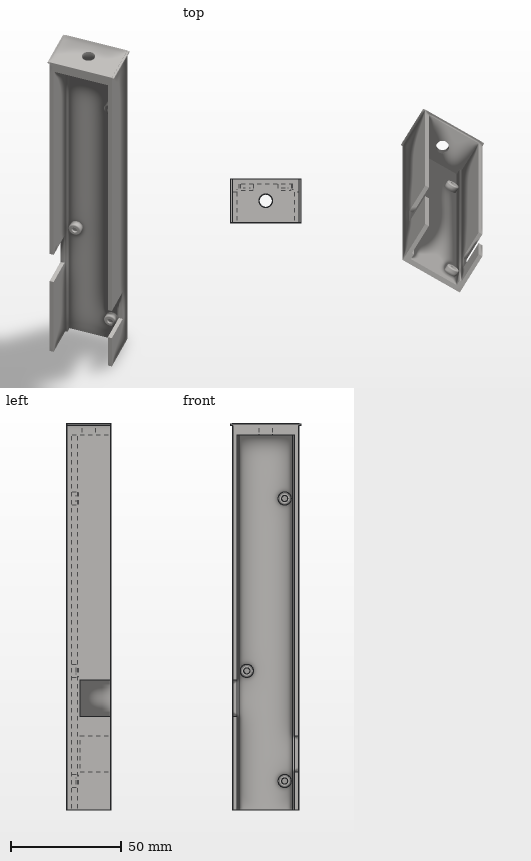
import cadquery as cq

LENGTH = 175.0
WIDTH = 30.1
DEPTH = 20.0
WALL = 2.0
BACK = 2.3
TOP_PLATE = 5.0
FRONT_FACE = -DEPTH / 2
BACK_FACE = DEPTH / 2

LIP_SPAN = 32.0
LIP_HEIGHT = 0.7
LIP_DROP = 0.2

RIB_WIDTH = 1.0
RIB_DEPTH = 2.6

CABLE_HOLE_DIAMETER = 6.0

NOTCH_HEIGHT = 16.5
NOTCH_DEPTH = 14.0
LEFT_NOTCH_BOTTOM = 42.4
RIGHT_NOTCH_BOTTOM = 17.2

BOSS_DIAMETER = 6.0
BOSS_HEIGHT = 3.0
BOSS_FILLET = 0.5
BOSS_BORE = 2.8
BOSS_BORE_DEPTH = 1.0
BOSS_OFFSET = 8.5
BOSS_PLACES = [
    (BOSS_OFFSET, 141.0),
    (-BOSS_OFFSET, 63.0),
    (BOSS_OFFSET, 13.1),
]

INNER_WIDTH = WIDTH - 2 * WALL
INNER_BACK = BACK_FACE - BACK
INNER_LENGTH = LENGTH - TOP_PLATE


def block(x_range, y_range, z_range):
    """Box between the given limits along each axis."""
    size = [high - low for low, high in (x_range, y_range, z_range)]
    corner = (x_range[0], y_range[0], z_range[0])
    return cq.Workplane("XY").box(*size, centered=False).translate(corner)


def side_notch(side, bottom):
    """Cutter for a notch through the side wall on the given side (-1 left, 1 right)."""
    x_range = sorted((side * INNER_WIDTH / 2, side * WIDTH / 2))
    return block(x_range, (FRONT_FACE, FRONT_FACE + NOTCH_DEPTH), (bottom, bottom + NOTCH_HEIGHT))


def corner_rib(side):
    """Rib in the corner between the back and one side wall."""
    wall_face = side * INNER_WIDTH / 2
    x_range = sorted((wall_face, wall_face - side * RIB_WIDTH))
    return block(x_range, (INNER_BACK - RIB_DEPTH, INNER_BACK), (0, INNER_LENGTH))


def make_housing():
    """Channel with its top lips, cable hole, corner ribs and side notches."""
    body = block((-WIDTH / 2, WIDTH / 2), (FRONT_FACE, BACK_FACE), (0, LENGTH))
    cavity = block((-INNER_WIDTH / 2, INNER_WIDTH / 2), (FRONT_FACE, INNER_BACK), (0, INNER_LENGTH))
    lip_top = LENGTH - LIP_DROP
    lips = block((-LIP_SPAN / 2, LIP_SPAN / 2), (FRONT_FACE, BACK_FACE), (lip_top - LIP_HEIGHT, lip_top))
    cable_hole = cq.Workplane("XY").circle(CABLE_HOLE_DIAMETER / 2).extrude(LENGTH)
    body = body.cut(cavity).union(lips).cut(cable_hole)
    for side in (-1, 1):
        body = body.union(corner_rib(side))
    body = body.cut(side_notch(-1, LEFT_NOTCH_BOTTOM))
    return body.cut(side_notch(1, RIGHT_NOTCH_BOTTOM))


def make_boss(x, z):
    """Round boss with a rounded front rim and a blind bore, standing on the inside of the back."""
    return (
        cq.Workplane("XZ", origin=(x, INNER_BACK, z))
        .circle(BOSS_DIAMETER / 2)
        .extrude(BOSS_HEIGHT)
        .faces("<Y")
        .edges()
        .fillet(BOSS_FILLET)
        .faces("<Y")
        .workplane()
        .hole(BOSS_BORE, BOSS_BORE_DEPTH)
    )


housing = make_housing()
bosses = [make_boss(x, z) for x, z in BOSS_PLACES]
result = cq.Compound.makeCompound([housing.val(), *[boss.val() for boss in bosses]])